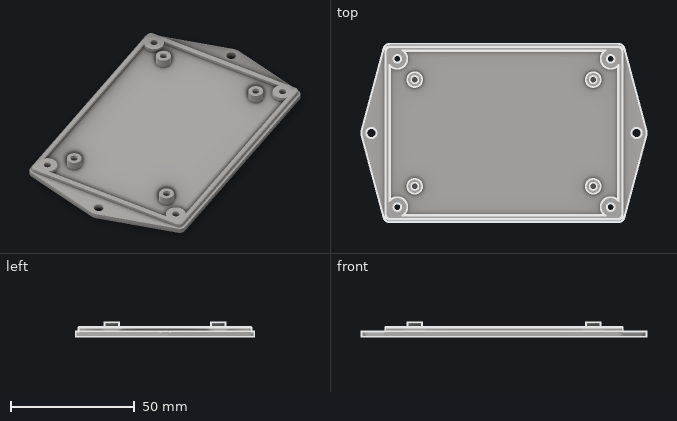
import cadquery as cq

length = 115.0
width = 72.0
base_thickness = 2.2
corner_x = 48.1
tip_flat = 1.8
corner_radius = 2.5
tip_radius = 3.0

rim_length = 95.9
rim_width = 69.9
rim_top = 4.0
rim_radius = 2.0
rim_chamfer = 0.3
wall_x = 2.1
wall_y = 2.0
floor_height = 2.0

pad_spacing_x = 86.0
pad_spacing_y = 59.8
pad_diameter = 8.0
screw_hole = 3.0

standoff_spacing_x = 72.0
standoff_spacing_y = 43.0
standoff_diameter = 6.0
standoff_hole = 3.0
standoff_top = 6.0

ear_hole_spacing = 107.0
ear_hole = 4.0


def make_base():
    tip_x, tip_y = length / 2, tip_flat / 2
    side_y = width / 2
    outline = [
        (-tip_x, -tip_y),
        (-corner_x, -side_y),
        (corner_x, -side_y),
        (tip_x, -tip_y),
        (tip_x, tip_y),
        (corner_x, side_y),
        (-corner_x, side_y),
        (-tip_x, tip_y),
    ]
    base = cq.Workplane("XY").polyline(outline).close().extrude(base_thickness)
    base = base.edges("|Z").edges("<Y or >Y").fillet(corner_radius)
    return base.edges("|Z").edges("<X or >X").fillet(tip_radius)


def make_rim_block():
    block = cq.Workplane("XY").rect(rim_length, rim_width).extrude(rim_top)
    return block.edges("|Z").fillet(rim_radius).faces(">Z").edges().chamfer(rim_chamfer)


def make_recess():
    """Rectangular pocket whose mouth is widened by the inner rim chamfer."""
    recess_length = rim_length - 2 * wall_x
    recess_width = rim_width - 2 * wall_y
    pocket = (
        cq.Workplane("XY")
        .workplane(offset=floor_height)
        .rect(recess_length, recess_width)
        .extrude(rim_top - floor_height)
    )
    mouth = (
        cq.Workplane("XY")
        .workplane(offset=rim_top)
        .rect(recess_length + 2 * rim_chamfer, recess_width + 2 * rim_chamfer)
        .workplane(offset=-rim_chamfer)
        .rect(recess_length, recess_width)
        .loft(combine=True)
    )
    return pocket.union(mouth)


def cylinders(spacing_x, spacing_y, diameter, bottom, top):
    """Four upright cylinders on a rectangular grid."""
    plane = cq.Workplane("XY").workplane(offset=bottom)
    grid = plane.rarray(spacing_x, spacing_y, 2, 2)
    return grid.circle(diameter / 2).extrude(top - bottom)


rim_block = make_rim_block()
body = make_base().union(rim_block).cut(make_recess())

pads = cylinders(pad_spacing_x, pad_spacing_y, pad_diameter, 0, rim_top)
pad_radius = pad_diameter / 2
corner_blocks = (
    cq.Workplane("XY")
    .rarray(pad_spacing_x + pad_radius, pad_spacing_y + pad_radius, 2, 2)
    .rect(pad_radius, pad_radius)
    .extrude(rim_top)
)
body = body.union(pads.union(corner_blocks).intersect(rim_block))
body = body.cut(cylinders(pad_spacing_x, pad_spacing_y, screw_hole, 0, rim_top))

standoff_grid = (standoff_spacing_x, standoff_spacing_y)
body = body.union(cylinders(*standoff_grid, standoff_diameter, 0, standoff_top))
body = body.cut(cylinders(*standoff_grid, standoff_hole, floor_height, standoff_top))

ear_holes = (
    cq.Workplane("XY")
    .rarray(ear_hole_spacing, 1.2, 2, 1)
    .circle(ear_hole / 2)
    .extrude(base_thickness)
)
result = body.cut(ear_holes)